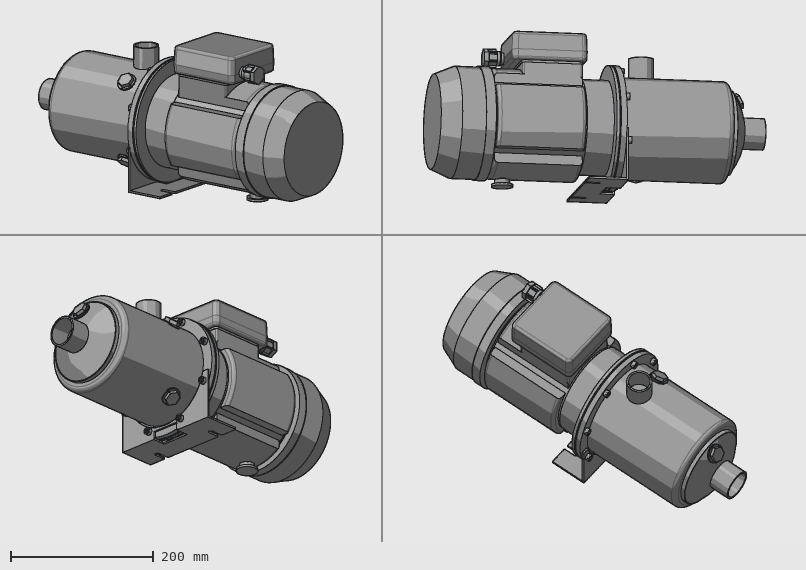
import cadquery as cq
import math


total_length = 472.0
base_level = -89.5

inlet_diameter = 44.5
inlet_bore = 39.0
dome_radius = 96.0
dome_diameter = 116.0
dome_end_x = 47.0
collar_diameter = 118.5
barrel_start_x = 53.5
barrel_diameter = 143.5
barrel_edge_fillet = 7.0
outlet_x = 174.0
outlet_diameter = 35.5
outlet_bore = 30.0
outlet_top = 100.5

flange_diameter = 176.5
flange_start_x = 210.5
flange_end_x = 219.0
bolt_count = 8
bolt_circle_radius = 81.0
bolt_diameter = 10.0
bolt_head_height = 5.5
socket_across_flats = 5.5
socket_depth = 3.0

plug_washer_diameter = 27.0
plug_washer_height = 1.0
plug_head_height = 6.0
plug_hex_across_flats = 20.0
plug_recess_depth = 2.0
dome_plug_angle = 27.5
barrel_plug_angle = 38.0

sheet = 3.0
bracket_width = 166.0
bracket_top = -15.0
bracket_end_x = 264.0
bracket_opening_radius = 74.5
window_width = 44.5
window_top = -77.5
window_end_x = 228.5
slot_width = 7.0
slot_spacing = 105.0
slot_length = 21.2

joint_groove_depth = 1.5
joint_groove_width = 1.5
motor_flange_end_x = 225.0
adapter_diameter = 134.5
adapter_end_x = 263.5
core_diameter = 134.0
end_ring_diameter = 136.0
end_ring_start_x = 393.5
pad_diameter = 156.0
pad_width = 88.8
pad_start_x = 266.5
pad_end_x = 392.0
pad_fillet = 4.5
fan_cover_start_x = 395.5
fan_cover_rim_diameter = 161.0
fan_cover_rim_end_x = 410.0
fan_cover_diameter = 158.0
fan_cover_cone_x = 444.0
fan_cover_end_diameter = 134.0

seat_start_x = 266.0
seat_end_x = 351.2
seat_bottom = 50.0
seat_top = 81.0
seat_corner = 2.5

foot_x = 372.5
foot_stem_diameter = 10.0
foot_body_diameter = 21.5
foot_body_top = -80.0
foot_pad_diameter = 30.0
foot_pad_top = -86.5

box_start_x = 259.0
box_end_x = 366.5
box_width = 100.0
box_bottom = 84.5
box_split = 98.5
box_top = 124.5
box_draft = 2.0
box_corner = 7.5
box_edge_fillet = 4.2
neck_overhang = 1.0
neck_corner = 4.2

gland_y = -25.5
gland_z = 99.0
gland_neck_diameter = 17.0
gland_neck_end_x = 370.0
gland_groove_diameter = 13.0
gland_collar_start_x = 371.5
gland_collar_diameter = 21.0
gland_nut_start_x = 376.3
gland_nut_body_diameter = 20.5
gland_nut_rib_span = 26.5
gland_nut_rib_width = 2.0
gland_nut_rim_x = 388.0
gland_nut_across_flats = 23.0
gland_end_x = 394.5


def rod(diameter, x_start, x_end, y=0.0, z=0.0):
    """Round bar along X."""
    plane = cq.Workplane("YZ", origin=(x_start, y, z))
    return plane.circle(diameter / 2).extrude(x_end - x_start)


def block(x_start, x_end, width, z_bottom, z_top):
    """Box centred on Y = 0."""
    base = cq.Workplane("XY", origin=((x_start + x_end) / 2, 0, z_bottom))
    return base.rect(x_end - x_start, width).extrude(z_top - z_bottom)


def hexagon(workplane, across_flats, height):
    """Hexagonal prism with two flats facing along the workplane's local x."""
    corners = across_flats / math.cos(math.pi / 6)
    return workplane.transformed(rotate=(0, 0, 30)).polygon(6, corners).extrude(height)


dome_centre_x = dome_end_x + math.sqrt(dome_radius**2 - (dome_diameter / 2) ** 2)


def dome_plug_place():
    angle = math.radians(dome_plug_angle)
    normal = cq.Vector(-math.cos(angle), 0, math.sin(angle))
    origin = cq.Vector(dome_centre_x, 0, 0) + normal * dome_radius
    return cq.Plane(origin, xDir=(0, 1, 0), normal=normal)


def barrel_plug_place(side):
    """Upper plug for side = 1, lower plug for side = -1."""
    angle = math.radians(barrel_plug_angle)
    normal = cq.Vector(0, -math.sin(angle), side * math.cos(angle))
    origin = cq.Vector(outlet_x, 0, 0) + normal * (barrel_diameter / 2)
    return cq.Plane(origin, xDir=(1, 0, 0), normal=normal)


plug_places = [dome_plug_place(), barrel_plug_place(1), barrel_plug_place(-1)]


def plug_washer(place):
    """Round part of a plug; it also gives the shape of its recess."""
    foot = cq.Workplane(place).workplane(offset=-plug_recess_depth)
    return foot.circle(plug_washer_diameter / 2).extrude(plug_recess_depth + plug_washer_height)


def make_plug(place):
    head = hexagon(cq.Workplane(place), plug_hex_across_flats, plug_head_height)
    return plug_washer(place).union(head)


def bolt_positions():
    step = 360 / bolt_count
    angles = [math.radians(step * (i + 0.5)) for i in range(bolt_count)]
    return [(bolt_circle_radius * math.cos(a), bolt_circle_radius * math.sin(a)) for a in angles]


def bolt_seat_x(z):
    """The lower bolts sit on the bracket, the upper ones on the flange."""
    return flange_start_x - sheet if z < bracket_top else flange_start_x


def make_bolt(y, z):
    head_x = bolt_seat_x(z) - bolt_head_height
    bolt = rod(bolt_diameter, head_x, flange_start_x, y, z)
    socket = hexagon(cq.Workplane("YZ", origin=(head_x, y, z)), socket_across_flats, socket_depth)
    return bolt.cut(socket)


def make_casing():
    inlet_radius = inlet_diameter / 2
    dome_start_x = dome_centre_x - math.sqrt(dome_radius**2 - inlet_radius**2)
    middle_radius = (inlet_radius + dome_diameter / 2) / 2
    dome_middle_x = dome_centre_x - math.sqrt(dome_radius**2 - middle_radius**2)
    end_cap = (
        cq.Workplane("XY")
        .moveTo(dome_start_x, 0)
        .lineTo(dome_start_x, inlet_radius)
        .threePointArc((dome_middle_x, middle_radius), (dome_end_x, dome_diameter / 2))
        .lineTo(dome_end_x, collar_diameter / 2)
        .lineTo(barrel_start_x, collar_diameter / 2)
        .lineTo(barrel_start_x, 0)
        .close()
        .revolve(360, (0, 0, 0), (1, 0, 0))
    )
    barrel = rod(barrel_diameter, barrel_start_x, flange_end_x)
    barrel = barrel.faces("<X").edges().fillet(barrel_edge_fillet)
    inlet = rod(inlet_diameter, 0, dome_start_x).cut(rod(inlet_bore, 0, dome_start_x))
    outlet = (
        cq.Workplane("XY", origin=(outlet_x, 0, 0))
        .circle(outlet_diameter / 2)
        .circle(outlet_bore / 2)
        .extrude(outlet_top)
    )
    flange = rod(flange_diameter, flange_start_x, flange_end_x)
    casing = barrel.union(end_cap).union(inlet).union(outlet).union(flange)
    for y, z in bolt_positions():
        casing = casing.union(make_bolt(y, z))
    for place in plug_places:
        casing = casing.cut(plug_washer(place))
    return casing


def make_bracket():
    plate_x = flange_start_x - sheet
    bracket = block(plate_x, flange_start_x, bracket_width, base_level, bracket_top)
    bracket = bracket.union(
        block(plate_x, bracket_end_x, bracket_width, base_level, base_level + sheet)
    )
    bracket = bracket.cut(rod(2 * bracket_opening_radius, plate_x, flange_start_x))
    bracket = bracket.cut(block(plate_x, window_end_x, window_width, base_level, window_top))
    for y, z in bolt_positions():
        if z < bracket_top:
            bracket = bracket.cut(rod(bolt_diameter, plate_x, flange_start_x, y, z))
    slots = (
        cq.Workplane("XY", origin=(bracket_end_x, 0, base_level))
        .pushPoints([(0, -slot_spacing / 2), (0, slot_spacing / 2)])
        .slot2D(2 * slot_length, slot_width)
        .extrude(sheet)
    )
    return bracket.cut(slots)


def make_pads():
    """Four raised sectors of the stator housing, parted by corner notches."""
    barrel = rod(pad_diameter, pad_start_x, pad_end_x).edges().fillet(pad_fillet)
    radius = pad_diameter / 2
    upright = block(pad_start_x, pad_end_x, pad_width, -radius, radius)
    level = block(pad_start_x, pad_end_x, pad_diameter, -pad_width / 2, pad_width / 2)
    return barrel.intersect(upright.union(level))


def make_fan_cover():
    rim = rod(fan_cover_rim_diameter, fan_cover_start_x, fan_cover_rim_end_x)
    body = rod(fan_cover_diameter, fan_cover_rim_end_x, fan_cover_cone_x)
    cone = (
        cq.Workplane("YZ", origin=(fan_cover_cone_x, 0, 0))
        .circle(fan_cover_diameter / 2)
        .workplane(offset=total_length - fan_cover_cone_x)
        .circle(fan_cover_end_diameter / 2)
        .loft(ruled=True)
    )
    return rim.union(body).union(cone)


def make_foot():
    plan = cq.Workplane("XY", origin=(foot_x, 0, base_level))
    pad = plan.circle(foot_pad_diameter / 2).extrude(foot_pad_top - base_level)
    body = plan.circle(foot_body_diameter / 2).extrude(foot_body_top - base_level)
    stem = plan.circle(foot_stem_diameter / 2).extrude(-core_diameter / 2 - base_level)
    return pad.union(body).union(stem)


def make_motor():
    groove_end_x = flange_end_x + joint_groove_width
    motor = rod(flange_diameter - 2 * joint_groove_depth, flange_end_x, groove_end_x)
    motor = motor.union(rod(flange_diameter, groove_end_x, motor_flange_end_x))
    motor = motor.union(rod(adapter_diameter, motor_flange_end_x, adapter_end_x))
    motor = motor.union(rod(core_diameter, adapter_end_x, fan_cover_start_x))
    motor = motor.union(rod(end_ring_diameter, end_ring_start_x, fan_cover_start_x))
    seat = block(seat_start_x, seat_end_x, pad_width, seat_bottom, seat_top)
    seat = seat.edges("|Z").fillet(seat_corner)
    return motor.union(make_pads()).union(seat).union(make_fan_cover()).union(make_foot())


def box_half(height):
    """Drafted half from the split plane; a negative height makes the lower half."""
    middle_x = (box_start_x + box_end_x) / 2
    plan = cq.Workplane("XY", origin=(middle_x, 0, box_split))
    half = plan.rect(box_end_x - box_start_x, box_width).extrude(height, taper=box_draft)
    half = half.edges("not #Z").edges("not |X").edges("not |Y").fillet(box_corner)
    outer_face = ">Z" if height > 0 else "<Z"
    return half.faces(outer_face).edges().fillet(box_edge_fillet)


def make_terminal_box():
    neck = block(
        seat_start_x - neck_overhang,
        seat_end_x + neck_overhang,
        pad_width,
        seat_top,
        box_bottom,
    )
    neck = neck.edges("|Z").fillet(neck_corner)
    return box_half(box_top - box_split).union(box_half(box_bottom - box_split)).union(neck)


def make_gland():
    def turned(diameter, x_start, x_end):
        return rod(diameter, x_start, x_end, gland_y, gland_z)

    def nut_ribs():
        bars = cq.Workplane("YZ", origin=(gland_nut_start_x, gland_y, gland_z))
        length = gland_nut_rim_x - gland_nut_start_x
        upright = bars.rect(gland_nut_rib_width, gland_nut_rib_span).extrude(length)
        axis_start = (0, gland_y, gland_z)
        axis_end = (1, gland_y, gland_z)
        return [upright.rotate(axis_start, axis_end, angle) for angle in (0, 60, 120)]

    gland = turned(gland_neck_diameter, box_end_x, gland_neck_end_x)
    gland = gland.union(turned(gland_groove_diameter, gland_neck_end_x, gland_collar_start_x))
    gland = gland.union(turned(gland_collar_diameter, gland_collar_start_x, gland_nut_start_x))
    gland = gland.union(turned(gland_nut_body_diameter, gland_nut_start_x, gland_nut_rim_x))
    for bar in nut_ribs():
        gland = gland.union(bar)
    rim_plane = cq.Workplane("YZ", origin=(gland_nut_rim_x, gland_y, gland_z))
    rim = hexagon(rim_plane, gland_nut_across_flats, gland_end_x - gland_nut_rim_x)
    return gland.union(rim)


casing = make_casing()
plugs = [make_plug(place) for place in plug_places]
bracket = make_bracket()
motor = make_motor()
terminal_box = make_terminal_box()
gland = make_gland()

result = cq.Compound.makeCompound(
    [
        casing.val(),
        *[plug.val() for plug in plugs],
        bracket.val(),
        motor.val(),
        terminal_box.val(),
        gland.val(),
    ]
)